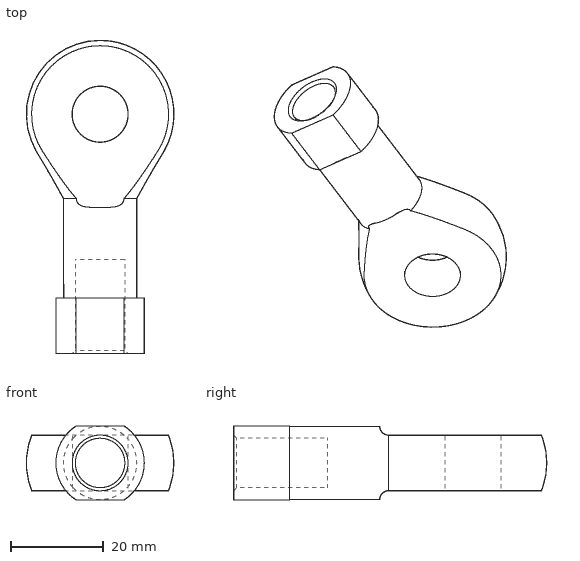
import cadquery as cq
import math

total_length = 67.5
eye_radius = 15.9
eye_thickness = 12.0
eye_hole_diameter = 12.0
neck_angle = math.radians(30)
shank_radius = 15.8 / 2
relief_radius = 1.9
collar_diameter = 19.05
collar_length = 12.0
collar_across_flats = 16.0
bore_diameter = 10.65
bore_mouth_diameter = 12.0
bore_depth = 20.25

end_y = eye_radius - total_length
half_thickness = eye_thickness / 2
collar_top_y = end_y + collar_length

tangent_x = eye_radius * math.cos(neck_angle)
tangent_y = -eye_radius * math.sin(neck_angle)
neck_end_y = tangent_y - (tangent_x - shank_radius) / math.tan(neck_angle)


def make_body():
    """Spherical eye, conical neck and round shank, turned about Y."""
    return (
        cq.Workplane("XY")
        .moveTo(0, eye_radius)
        .threePointArc((eye_radius, 0), (tangent_x, tangent_y))
        .lineTo(shank_radius, neck_end_y)
        .lineTo(shank_radius, end_y)
        .lineTo(0, end_y)
        .close()
        .revolve(360, (0, 0, 0), (0, 1, 0))
    )


def make_face_relief():
    """Material removed above the upper eye face, with a rounded run-out."""
    top_z = half_thickness + relief_radius
    clear_z = 2 * eye_radius
    clear_y = 2 * eye_radius
    arc_step = relief_radius * math.sin(math.radians(45))
    return (
        cq.Workplane("YZ")
        .moveTo(clear_y, half_thickness)
        .lineTo(neck_end_y, half_thickness)
        .threePointArc(
            (neck_end_y - arc_step, top_z - arc_step),
            (neck_end_y - relief_radius, top_z),
        )
        .lineTo(neck_end_y - relief_radius, clear_z)
        .lineTo(clear_y, clear_z)
        .close()
        .extrude(2 * eye_radius, both=True)
    )


def make_collar():
    """Round collar with two wrench flats facing up and down."""
    collar = (
        cq.Workplane("XZ", origin=(0, collar_top_y, 0))
        .circle(collar_diameter / 2)
        .extrude(collar_length)
    )
    flats = cq.Workplane("XY").box(collar_diameter, 2 * total_length, collar_across_flats)
    return collar.intersect(flats)


def make_bore():
    """Blind bore with a 45 degree chamfer at its mouth."""
    bore_radius = bore_diameter / 2
    mouth_radius = bore_mouth_diameter / 2
    return (
        cq.Workplane("XY")
        .moveTo(0, end_y)
        .lineTo(mouth_radius, end_y)
        .lineTo(bore_radius, end_y + mouth_radius - bore_radius)
        .lineTo(bore_radius, end_y + bore_depth)
        .lineTo(0, end_y + bore_depth)
        .close()
        .revolve(360, (0, 0, 0), (0, 1, 0))
    )


upper_relief = make_face_relief()
lower_relief = upper_relief.mirror("XY")
eye_hole = cq.Workplane("XY").circle(eye_hole_diameter / 2).extrude(eye_thickness, both=True)

result = (
    make_body()
    .cut(upper_relief)
    .cut(lower_relief)
    .union(make_collar())
    .cut(eye_hole)
    .cut(make_bore())
)